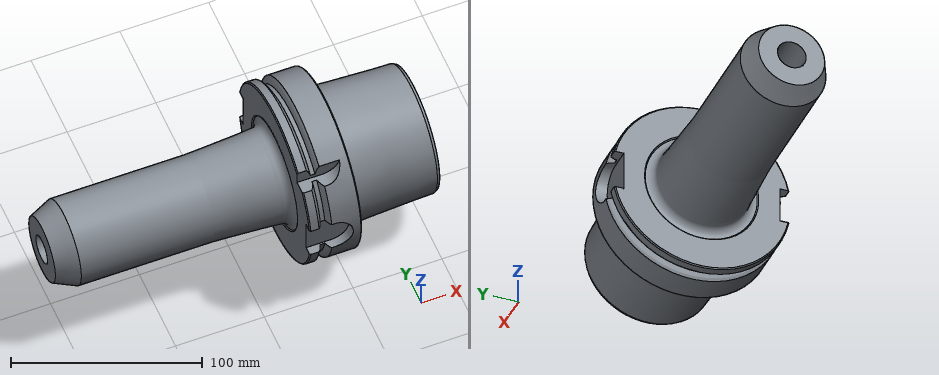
import cadquery as cq
import math

total_length = 210.0

nose_radius = 18.5
nose_edge_drop = 0.8
nose_edge_length = 0.2
nose_length = 12.5
body_radius = 24.0
body_end = 87.5
neck_radius = 26.0
neck_end = 125.0
bore_radius = 8.0
bore_depth = 42.0

flange_length = 29.0
flange_radius = 50.0
flange_end = 160.0
flange_start = flange_end - flange_length
flange_chamfer = 0.6

fillet_radius = 5.0
fillet_sink = 0.6
fillet_center_x = flange_start + fillet_sink - fillet_radius
fillet_base_radius = 26.2
fillet_outer_radius = fillet_base_radius + fillet_radius

groove_center = 139.9
groove_floor_radius = 46.0
groove_floor_half = 1.3
groove_flank_half = 2.5
groove_mouth_half = 3.5
groove_lip_radius = 48.7

shank_root_radius = 37.8
shank_tip_radius = 35.7
shank_chamfer = 1.7
shank_chamfer_drop = 0.8

slot_end = 155.2
front_slot_width = 20.2
front_slot_floor = 43.9
back_slot_width = 22.3
back_slot_floor = 43.5
back_slot_corner = 10.7
notch_offset = 31.3


def turned_body():
    """Revolve the outer profile; sketch x is the axis and sketch y the radius."""
    arc_reach = fillet_radius * math.sqrt(0.5)
    fillet_middle = (fillet_center_x + arc_reach, fillet_outer_radius - arc_reach)
    fillet_end = (fillet_center_x + fillet_radius, fillet_outer_radius)
    profile = (
        cq.Workplane("XY")
        .moveTo(0, 0)
        .lineTo(0, nose_radius - nose_edge_drop)
        .lineTo(nose_edge_length, nose_radius)
        .lineTo(nose_length, body_radius)
        .lineTo(body_end, body_radius)
        .lineTo(neck_end, neck_radius)
        .lineTo(fillet_center_x, fillet_base_radius)
        .threePointArc(fillet_middle, fillet_end)
        .lineTo(flange_start, fillet_outer_radius + fillet_sink)
        .lineTo(flange_start, flange_radius - flange_chamfer)
        .lineTo(flange_start + flange_chamfer, flange_radius)
        .lineTo(groove_center - groove_mouth_half, flange_radius)
        .lineTo(groove_center - groove_flank_half, groove_lip_radius)
        .lineTo(groove_center - groove_floor_half, groove_floor_radius)
        .lineTo(groove_center + groove_floor_half, groove_floor_radius)
        .lineTo(groove_center + groove_flank_half, groove_lip_radius)
        .lineTo(groove_center + groove_mouth_half, flange_radius)
        .lineTo(flange_end - flange_chamfer, flange_radius)
        .lineTo(flange_end, flange_radius - flange_chamfer)
        .lineTo(flange_end, shank_root_radius)
        .lineTo(total_length - shank_chamfer, shank_tip_radius)
        .lineTo(total_length, shank_tip_radius - shank_chamfer_drop)
        .lineTo(total_length, 0)
        .close()
    )
    return profile.revolve(360, (0, 0, 0), (1, 0, 0))


def slot_cutter(width, corner_radius, center_z, inner_y, outer_y):
    """Slot cutter along Y, open at the flange face; corners of half the width give a full-round end."""
    half_width = width / 2
    half_flat = half_width - corner_radius
    corner_x = slot_end - corner_radius
    arc_reach = corner_radius * math.sqrt(0.5)
    outline = (
        cq.Workplane("XZ", origin=(0, inner_y, center_z))
        .moveTo(flange_start, -half_width)
        .lineTo(corner_x, -half_width)
        .threePointArc((corner_x + arc_reach, -half_flat - arc_reach), (slot_end, -half_flat))
    )
    if half_flat > 0:
        outline = outline.lineTo(slot_end, half_flat)
    outline = (
        outline
        .threePointArc((corner_x + arc_reach, half_flat + arc_reach), (corner_x, half_width))
        .lineTo(flange_start, half_width)
        .close()
    )
    return outline.extrude(inner_y - outer_y)


def nose_bore():
    return cq.Workplane("YZ").circle(bore_radius).extrude(bore_depth)


front_slot_corner = front_slot_width / 2
front_slot = slot_cutter(front_slot_width, front_slot_corner, 0, -front_slot_floor, -flange_radius)
back_slot = slot_cutter(back_slot_width, back_slot_corner, 0, back_slot_floor, flange_radius)

notch_center_z = notch_offset + front_slot_width / 2
corner_notch = slot_cutter(front_slot_width, front_slot_corner, notch_center_z, -notch_offset, -flange_radius)

result = turned_body().cut(nose_bore()).cut(front_slot).cut(back_slot).cut(corner_notch)